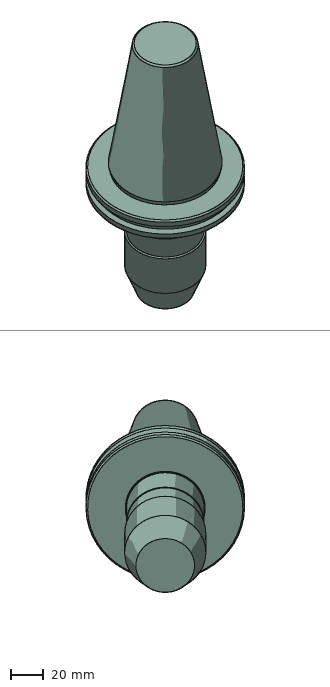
import cadquery as cq

total_height = 209.8
nose_height = 20.0
sleeve_top = 50.1
neck_groove_level = 65.7
flange_bottom = 89.0
flange_top = 104.9
gauge_plane = 108.0

nose_radius = 18.0
sleeve_radius = 25.0
neck_radius = 24.0
flange_diameter = 97.5
flange_radius = flange_diameter / 2
taper_large_radius = 35.0
taper_small_radius = 20.1
relief_radius = 34.5

shoulder_slope_height = 0.6
flange_chamfer = 1.0
taper_chamfer = 1.0
relief_slope_height = 0.6
collar_radius = 24.5
collar_height = 0.6
neck_groove_width = 0.6
neck_groove_depth = 0.2

grip_center = 97.0
grip_floor_radius = 45.7
grip_mouth_width = 6.3
grip_floor_width = 3.8


def revolve_profile(points):
    """Turn a closed (radius, height) profile around the Z axis."""
    return cq.Workplane("XZ").polyline(points).close().revolve(360, (0, 0), (0, 1))


def make_shank():
    """Conical nose, sleeve with sloped shoulder and neck, ending in a narrow collar under the flange."""
    return revolve_profile([
        (0, 0),
        (nose_radius, 0),
        (sleeve_radius, nose_height),
        (sleeve_radius, sleeve_top - shoulder_slope_height),
        (neck_radius, sleeve_top),
        (neck_radius, flange_bottom - collar_height),
        (collar_radius, flange_bottom - collar_height),
        (collar_radius, flange_bottom),
        (0, flange_bottom),
    ])


def make_flange():
    """Disc with both outer rims chamfered."""
    disc = cq.Workplane("XY", origin=(0, 0, flange_bottom)).circle(flange_radius)
    return disc.extrude(flange_top - flange_bottom).faces("<Z or >Z").edges().chamfer(flange_chamfer)


def make_taper():
    """Steep taper standing on a short relieved section."""
    return revolve_profile([
        (0, flange_top),
        (relief_radius, flange_top),
        (relief_radius, gauge_plane - relief_slope_height),
        (taper_large_radius, gauge_plane),
        (taper_small_radius, total_height),
        (0, total_height),
    ]).faces(">Z").edges().chamfer(taper_chamfer)


def make_grip_groove():
    """Ring with sloping flanks that cuts the gripper groove."""
    return revolve_profile([
        (grip_floor_radius, grip_center - grip_floor_width / 2),
        (flange_radius, grip_center - grip_mouth_width / 2),
        (flange_radius, grip_center + grip_mouth_width / 2),
        (grip_floor_radius, grip_center + grip_floor_width / 2),
    ])


def make_neck_groove():
    """Thin ring that cuts the shallow joint line around the neck."""
    groove_floor_radius = neck_radius - neck_groove_depth
    return (
        cq.Workplane("XY", origin=(0, 0, neck_groove_level - neck_groove_width / 2))
        .circle(neck_radius)
        .circle(groove_floor_radius)
        .extrude(neck_groove_width)
    )


body = make_shank().union(make_flange()).union(make_taper())
result = body.cut(make_grip_groove()).cut(make_neck_groove())